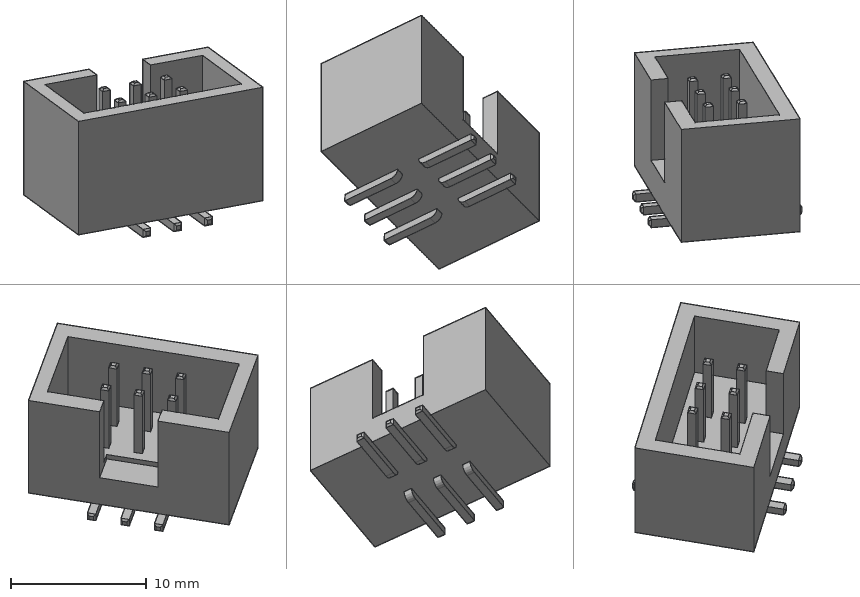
import cadquery as cq

body_width = 9.0
body_length = 15.24
body_height = 9.0
cavity_width = 6.4
cavity_length = 13.0
cavity_floor = 3.02

slot_width = 4.42
slot_depth = 2.2
slot_floor = 2.59

pin_thickness = 0.64
pin_pitch = 2.55
pins_per_row = 3
pin_tip_gap = 0.26
tip_chamfer = 0.15
heel_radius = 0.61
tail_span = 11.6


def make_housing():
    box = cq.Workplane("XY").box(
        body_width, body_length, body_height, centered=(True, True, False)
    )
    cavity = (
        cq.Workplane("XY", origin=(0, 0, cavity_floor))
        .box(cavity_width, cavity_length, body_height, centered=(True, True, False))
    )
    slot = (
        cq.Workplane("XY", origin=(-body_width / 2, 0, slot_floor))
        .box(slot_depth, slot_width, body_height, centered=(False, True, False))
    )
    return box.cut(cavity).cut(slot)


def make_pin():
    """L-shaped pin of the +X row at Y = 0: upright post, tail pointing to +X."""
    post_inner = pin_pitch / 2 - pin_thickness / 2
    tail_length = tail_span / 2 - post_inner
    post_height = body_height - pin_tip_gap + pin_thickness
    base = cq.Workplane("XY", origin=(post_inner, 0, -pin_thickness))

    post = base.box(pin_thickness, pin_thickness, post_height, centered=(False, True, False))
    post = post.faces(">Z").chamfer(tip_chamfer)
    tail = base.box(tail_length, pin_thickness, pin_thickness, centered=(False, True, False))
    tail = tail.faces(">X").chamfer(tip_chamfer)
    return post.union(tail).edges("<X and <Z").fillet(heel_radius)


result = make_housing()
right_pin = make_pin()
left_pin = right_pin.mirror("YZ")
for index in range(pins_per_row):
    pin_y = (index - (pins_per_row - 1) / 2) * pin_pitch
    for pin in (left_pin, right_pin):
        result = result.union(pin.translate((0, pin_y, 0)))